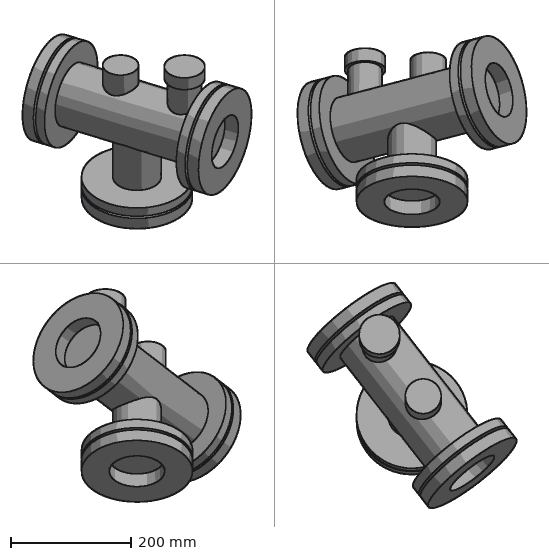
import cadquery as cq

overall_length = 334.0
pipe_diameter = 111.5

flange_diameter = 185.0
outer_disc_thickness = 21.0
gasket_thickness = 4.5
gasket_diameter = 127.0
inner_disc_thickness = 16.7
bore_diameter = 92.2
bore_depth = outer_disc_thickness + gasket_thickness

branch_diameter = 80.8
branch_reach = 167.0

stub_x = -31.0
stub_diameter = 59.8
stub_top = 90.0

capped_stub_x = 90.2
neck_diameter = 57.0
cap_diameter = 67.8
cap_height = 23.7
cap_top = 126.5


def cylinder_along(direction, diameter, start, length):
    """Cylinder on an axis through the origin, beginning at distance start."""
    base = cq.Vector(*direction) * start
    axis = cq.Vector(*direction)
    return cq.Workplane(cq.Solid.makeCylinder(diameter / 2, length, base, axis))


def upright_stub(x, diameter, bottom, top):
    """Vertical cylinder at the given position along the main pipe."""
    return cylinder_along((0, 0, 1), diameter, bottom, top - bottom).translate((x, 0, 0))


def flanged_pipe(direction, diameter, reach):
    """Pipe from the origin ending in a flange pair with a blind bore."""
    gasket_end = reach - outer_disc_thickness
    gasket_start = gasket_end - gasket_thickness
    inner_start = gasket_start - inner_disc_thickness
    arm = cylinder_along(direction, diameter, 0, inner_start)
    arm = arm.union(cylinder_along(direction, flange_diameter, inner_start, inner_disc_thickness))
    arm = arm.union(cylinder_along(direction, gasket_diameter, gasket_start, gasket_thickness))
    arm = arm.union(cylinder_along(direction, flange_diameter, gasket_end, outer_disc_thickness))
    return arm.cut(cylinder_along(direction, bore_diameter, reach - bore_depth, bore_depth))


left_arm = flanged_pipe((-1, 0, 0), pipe_diameter, overall_length / 2)
right_arm = flanged_pipe((1, 0, 0), pipe_diameter, overall_length / 2)
body = left_arm.union(right_arm)

body = body.union(flanged_pipe((0, 0, -1), branch_diameter, branch_reach))

body = body.union(upright_stub(stub_x, stub_diameter, 0, stub_top))
body = body.union(upright_stub(capped_stub_x, neck_diameter, 0, cap_top - cap_height))
body = body.union(upright_stub(capped_stub_x, cap_diameter, cap_top - cap_height, cap_top))

result = body.clean()